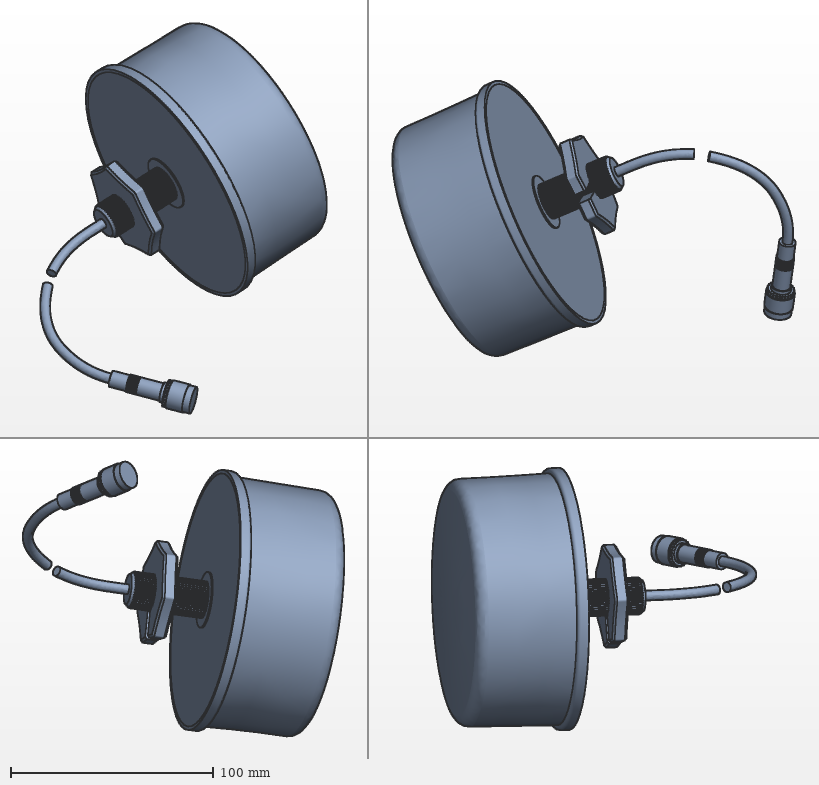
import cadquery as cq
import math


rim_radius = 65.0
rim_height = 5.8
rim_fillet = 1.8
cover_bottom_radius = 62.5
cover_shoulder_radius = 61.3
cover_edge_height = 55.2
cover_top_height = 57.4
cover_fillet = 5.8

plate_radius = 63.2
plate_thickness = rim_height - rim_fillet
boss_radius = 14.0
boss_height = 0.7

stud_radius = 9.2
stud_root_radius = 8.7
stud_teeth = 44
stud_length = 39.8
stud_tip_radius = 7.6
stud_chamfer_length = 2.2

nut_sides = 7
nut_corner_radius = 26.5
nut_corner_angle = 18.3
nut_side_hollow = 0.7
nut_corner_fillet = 1.5
nut_thickness = 7.2
nut_chamfer = 1.0
nut_near_face = -20.8
nut_slot_width = 4.9
slotted_side = 4

cable_radius = 2.5
near_middle = (0.5, -56.8)
near_middle_angle = -83.0
near_end = (8.1, -78.7)
near_end_angle = -59.0
far_start = (12.8, -84.7)
far_low_point = (48.3, -103.3)
far_start_angle = -49.0

connector_start = (76.7, -95.0)
connector_angle = 34.0
sleeve_radius = 4.2
sleeve_end = 9.0
grip_radius = 4.5
grip_root_radius = 4.2
grip_teeth = 30
grip_end = 14.5
barrel_radius = 4.5
barrel_end = 26.6
neck_radius = 5.0
neck_end = 28.6
collar_radius = 6.9
collar_root_radius = 6.3
collar_teeth = 24
collar_end = 30.5
coupling_radius = 7.2
coupling_end = 39.0
tip_radius = 6.9
connector_length = 42.7


def polar(radius, degrees):
    """Point at a given radius and angle."""
    angle = math.radians(degrees)
    return (radius * math.cos(angle), radius * math.sin(angle))


def plane_facing_down(y):
    """Plane at height y whose normal is -Y, with local x along X and local y along Z."""
    return cq.Plane(origin=(0, y, 0), xDir=(1, 0, 0), normal=(0, -1, 0))


def splined_bar(plane, radius, root_radius, teeth, length):
    """Bar with pointed teeth all round, running the whole length."""
    points = []
    for step in range(2 * teeth):
        point_radius = radius if step % 2 == 0 else root_radius
        points.append(polar(point_radius, step * 180 / teeth))
    return cq.Workplane(plane).polyline(points).close().extrude(length)


def make_cover():
    half_profile = (
        cq.Workplane("XY")
        .lineTo(-rim_radius, 0)
        .lineTo(-rim_radius, rim_height - rim_fillet)
        .radiusArc((-rim_radius + rim_fillet, rim_height), rim_fillet)
        .lineTo(-cover_bottom_radius, rim_height)
        .lineTo(-cover_shoulder_radius, cover_edge_height)
    )
    crown_rise = cover_top_height - cover_edge_height
    crown_radius = (cover_shoulder_radius**2 + crown_rise**2) / (2 * crown_rise)
    cover = half_profile.radiusArc((0, cover_top_height), crown_radius).close()
    cover = cover.revolve(360, (0, 0, 0), (0, 1, 0))
    margin = crown_rise / 2
    shoulder = cq.selectors.BoxSelector(
        (-rim_radius, cover_edge_height - margin, -rim_radius),
        (rim_radius, cover_edge_height + margin, rim_radius),
        boundingbox=True,
    )
    cover = cover.edges(shoulder).fillet(cover_fillet)
    recess = cq.Workplane(plane_facing_down(plate_thickness)).circle(plate_radius).extrude(plate_thickness)
    return cover.cut(recess)


def make_base():
    plate = cq.Workplane(plane_facing_down(plate_thickness)).circle(plate_radius).extrude(plate_thickness)
    boss = cq.Workplane(plane_facing_down(0)).circle(boss_radius).extrude(boss_height)
    stud = splined_bar(plane_facing_down(0), stud_radius, stud_root_radius, stud_teeth, stud_length)
    chamfered_envelope = (
        cq.Workplane("XY")
        .lineTo(stud_radius, 0)
        .lineTo(stud_radius, -stud_length + stud_chamfer_length)
        .lineTo(stud_tip_radius, -stud_length)
        .lineTo(0, -stud_length)
        .close()
        .revolve(360, (0, 0, 0), (0, 1, 0))
    )
    return plate.union(boss).union(stud.intersect(chamfered_envelope))


def make_nut():
    side_angle = 360 / nut_sides
    side_distance = nut_corner_radius * math.cos(math.pi / nut_sides) - nut_side_hollow
    outline = cq.Workplane(plane_facing_down(nut_near_face)).moveTo(*polar(nut_corner_radius, nut_corner_angle))
    for side in range(nut_sides):
        start_angle = nut_corner_angle + side * side_angle
        side_middle = polar(side_distance, start_angle + side_angle / 2)
        next_corner = polar(nut_corner_radius, start_angle + side_angle)
        outline = outline.threePointArc(side_middle, next_corner)
    nut = outline.close().extrude(nut_thickness)
    nut = nut.edges("|Y").fillet(nut_corner_fillet)
    nut = nut.faces("<Y or >Y").edges().chamfer(nut_chamfer)
    bore = cq.Workplane(plane_facing_down(nut_near_face)).circle(stud_radius).extrude(nut_thickness)
    slot_angle = nut_corner_angle + (slotted_side + 0.5) * side_angle
    slot = (
        cq.Workplane(plane_facing_down(nut_near_face))
        .transformed(rotate=(0, 0, slot_angle))
        .center(nut_corner_radius / 2, 0)
        .rect(nut_corner_radius, nut_slot_width)
        .extrude(nut_thickness)
    )
    return nut.cut(bore).cut(slot)


def swept_cable(points, start_angle, middle_angle, end_angle):
    """Round cable along a smooth curve through three points of the XY plane, with its heading at each."""
    start_direction = polar(1, start_angle)
    path = cq.Workplane("XY").spline(
        points, tangents=[start_direction, polar(1, middle_angle), polar(1, end_angle)]
    )
    start_plane = cq.Plane(origin=(*points[0], 0), xDir=(0, 0, 1), normal=(*start_direction, 0))
    return cq.Workplane(start_plane).circle(cable_radius).sweep(path)


def make_near_cable():
    straight_down = -90
    points = [(0, -stud_length), near_middle, near_end]
    return swept_cable(points, straight_down, near_middle_angle, near_end_angle)


def make_far_cable():
    level = 0
    points = [far_start, far_low_point, connector_start]
    return swept_cable(points, far_start_angle, level, connector_angle)


def make_connector():
    def plane_at(distance):
        step_x, step_y = polar(distance, connector_angle)
        return cq.Plane(
            origin=(connector_start[0] + step_x, connector_start[1] + step_y, 0),
            xDir=(0, 0, 1),
            normal=(*polar(1, connector_angle), 0),
        )

    def round_section(start, end, radius):
        return cq.Workplane(plane_at(start)).circle(radius).extrude(end - start)

    grip = splined_bar(plane_at(sleeve_end), grip_radius, grip_root_radius, grip_teeth, grip_end - sleeve_end)
    collar = splined_bar(
        plane_at(neck_end), collar_radius, collar_root_radius, collar_teeth, collar_end - neck_end
    )
    return (
        round_section(0, sleeve_end, sleeve_radius)
        .union(grip)
        .union(round_section(grip_end, barrel_end, barrel_radius))
        .union(round_section(barrel_end, neck_end, neck_radius))
        .union(collar)
        .union(round_section(collar_end, coupling_end, coupling_radius))
        .union(round_section(coupling_end, connector_length, tip_radius))
    )


cover = make_cover()
base = make_base()
nut = make_nut()
near_cable = make_near_cable()
far_cable = make_far_cable()
connector = make_connector()

result = cq.Compound.makeCompound(
    [cover.val(), base.val(), nut.val(), near_cable.val(), far_cable.val(), connector.val()]
)